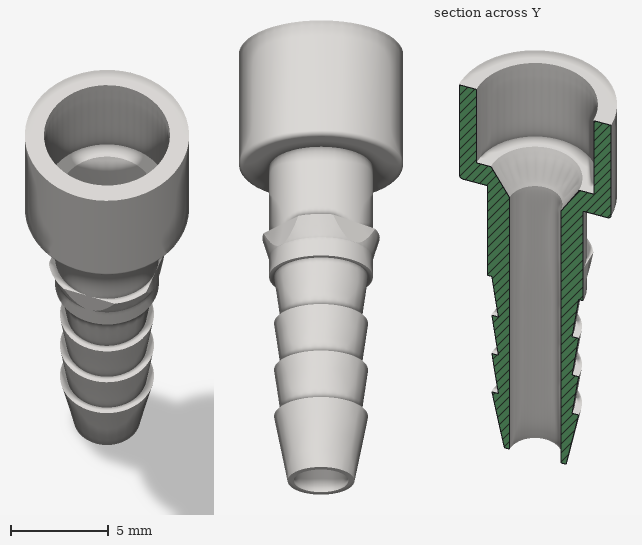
import cadquery as cq
import math

total_length = 23.9
head_bottom = 17.52
collar_top = 13.6
collar_flare_start = 12.45
collar_bottom = 11.42

head_diameter = 8.4
stem_diameter = 5.3
collar_diameter = 6.0
barb_diameter = 4.8
barb_root_diameter = 4.09
tip_diameter = 3.42
head_edge_radius = 0.25

barb_count = 3
barb_pitch = 2.6

socket_diameter = 6.43
socket_depth = 5.0
bore_diameter = 2.8
funnel_diameter = 4.85
funnel_angle = 60.0
funnel_depth = (funnel_diameter - bore_diameter) / 2 / math.tan(math.radians(funnel_angle / 2))


def cone(bottom_z, top_z, bottom_diameter, top_diameter):
    """Solid of revolution on Z with straight sides between two diameters."""
    outline = [
        (0, bottom_z),
        (bottom_diameter / 2, bottom_z),
        (top_diameter / 2, top_z),
        (0, top_z),
    ]
    return cq.Workplane("XZ").polyline(outline).close().revolve(360, (0, 0), (0, 1))


def cylinder(bottom_z, top_z, diameter):
    return cone(bottom_z, top_z, diameter, diameter)


def make_head():
    head = cylinder(head_bottom, total_length, head_diameter)
    return head.faces("<Z").edges().fillet(head_edge_radius)


def make_collar():
    """Flared collar trimmed by four flats level with the stem."""
    flare = cone(collar_flare_start, collar_top, stem_diameter, collar_diameter)
    collar = cylinder(collar_bottom, collar_flare_start, stem_diameter).union(flare)
    square = (
        cq.Workplane("XY")
        .workplane(offset=collar_bottom)
        .rect(stem_diameter, stem_diameter)
        .extrude(collar_top - collar_bottom)
    )
    return collar.intersect(square)


def make_barbs():
    """Stack of barbs ending in a longer, slimmer tip cone."""
    tip_top = collar_bottom - barb_count * barb_pitch
    barbs = cone(0, tip_top, tip_diameter, barb_diameter)
    for index in range(barb_count):
        bottom_z = tip_top + index * barb_pitch
        barb = cone(bottom_z, bottom_z + barb_pitch, barb_root_diameter, barb_diameter)
        barbs = barbs.union(barb)
    return barbs


def make_passage():
    """Socket, funnel and through bore as one cutting body."""
    socket_floor = total_length - socket_depth
    socket = cylinder(socket_floor, total_length, socket_diameter)
    funnel = cone(socket_floor - funnel_depth, socket_floor, bore_diameter, funnel_diameter)
    bore = cylinder(0, total_length, bore_diameter)
    return bore.union(funnel).union(socket)


stem = cylinder(collar_bottom, head_bottom, stem_diameter)
body = make_head().union(stem).union(make_collar()).union(make_barbs())
result = body.cut(make_passage())